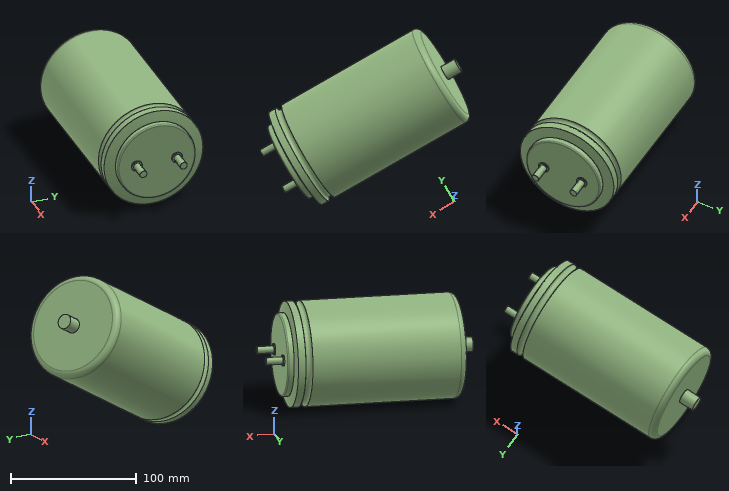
import cadquery as cq
import math

total_length = 172.0

stud_diameter = 12.0
stud_length = 12.5

can_diameter = 85.5
can_radius = can_diameter / 2
base_round = 5.0

groove_start = 139.0
groove_end = 144.7
groove_depth = (groove_end - groove_start) / 2

rim_end = 150.8
crown_end = 152.4
crown_bulge = 0.25

cover_radius = 33.5
cover_end = 157.5
cover_round = 1.0

terminal_spacing = 34.7
pin_diameter = 6.0
collar_diameter = 9.0
collar_height = 1.0


def x_cylinder(start, end, diameter, y=0.0):
    """Cylinder parallel to X, from start to end, at height zero."""
    return (
        cq.Workplane("YZ", origin=(start, y, 0))
        .circle(diameter / 2)
        .extrude(end - start)
    )


def make_can():
    """Can, groove, crimped rim and cover as one revolved profile."""
    base = stud_length
    arc_inset = base_round * (1 - math.sqrt(0.5))
    cover_inset = cover_round * (1 - math.sqrt(0.5))
    floor_radius = can_radius - groove_depth
    groove_middle = (groove_start + groove_end) / 2
    crown_middle = (rim_end + crown_end) / 2 + crown_bulge
    profile = (
        cq.Workplane("XY")
        .moveTo(base, 0)
        .lineTo(base, can_radius - base_round)
        .threePointArc(
            (base + arc_inset, can_radius - arc_inset),
            (base + base_round, can_radius),
        )
        .lineTo(groove_start, can_radius)
        .threePointArc((groove_middle, floor_radius), (groove_end, can_radius))
        .lineTo(rim_end, can_radius)
        .threePointArc((crown_middle, (can_radius + cover_radius) / 2), (crown_end, cover_radius))
        .lineTo(cover_end - cover_round, cover_radius)
        .threePointArc(
            (cover_end - cover_inset, cover_radius - cover_inset),
            (cover_end, cover_radius - cover_round),
        )
        .lineTo(cover_end, 0)
        .close()
    )
    return profile.revolve(360, (0, 0, 0), (1, 0, 0))


def make_terminal(y):
    """Pin with a low collar where it leaves the cover."""
    collar = x_cylinder(cover_end, cover_end + collar_height, collar_diameter, y)
    pin = x_cylinder(cover_end, total_length, pin_diameter, y)
    return collar.union(pin)


result = make_can().union(x_cylinder(0, stud_length, stud_diameter))
for side in (-1, 1):
    result = result.union(make_terminal(side * terminal_spacing / 2))